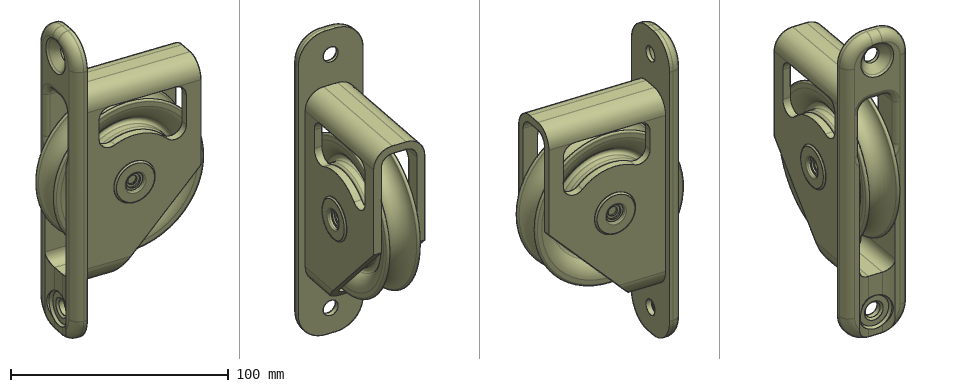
import cadquery as cq
import math

PLATE_WIDTH = 34.5
PLATE_HEIGHT = 162.0
PLATE_THICKNESS = 7.0
PLATE_CORNER_RADIUS = 14.5
PLATE_FRONT_ROUND = 5.0

TUBE_WIDTH = 27.2
TUBE_HEIGHT = 103.0
TUBE_CORNER_RADIUS = 9.9
TUBE_WALL = 4.0
TUBE_BACK = 69.3
CAVITY_WIDTH = TUBE_WIDTH - 2 * TUBE_WALL
CAVITY_HEIGHT = TUBE_HEIGHT - 2 * TUBE_WALL
CAVITY_CORNER_RADIUS = TUBE_CORNER_RADIUS - TUBE_WALL

SLOPE_START_Y = 22.5
SLOPE_END_Z = -3.7

MOUTH_HEIGHT = 34.0
MOUTH_ROUND = 2.6

CHANNEL_DEPTH = 1.6
CHANNEL_FLAT = CAVITY_WIDTH - 2 * CAVITY_CORNER_RADIUS

SCREW_Z = 67.5
SCREW_HOLE_DIAMETER = 8.0
SCREW_HEAD_DIAMETER = 17.7
SCREW_SEAT_DIAMETER = 15.9
SCREW_SEAT_LIP = 1.0
SCREW_CONE_DEPTH = 5.0
COUNTERBORE_FLOOR = 3.0
COUNTERBORE_HOLE_DIAMETER = 10.0
COUNTERBORE_HOLE_CHAMFER = (COUNTERBORE_HOLE_DIAMETER - SCREW_HOLE_DIAMETER) / 2

SHEAVE_Y = 34.0
SHEAVE_Z = -2.5
SHEAVE_RADIUS = 79.5 / 2
SHEAVE_HALF_WIDTH = 9.0
RIM_TIP_RADIUS = 1.0
GROOVE_BOTTOM_RADIUS = 32.9
FLANK_INNER_RADIUS = 36.5
DISH_RADIUS = 9.7
DISH_CENTER_RADIUS = 37.1
HUB_RADIUS = 50.9 / 2
HUB_ROUND = 1.1
VALLEY_RADIUS = 1.6

AXLE_DIAMETER = 21.9
AXLE_LENGTH = 29.2
AXLE_CHAMFER = 0.8
SOCKET_DIAMETER = 9.7
SOCKET_DEPTH = 2.0
SOCKET_ROUND = 0.73
SOCKET_STEP_DIAMETER = 7.5
SOCKET_STEP_DEPTH = 2.9
SOCKET_PILOT_DIAMETER = 4.9
SOCKET_PILOT_DEPTH = 3.9

WINDOW_FRONT = 15.2
WINDOW_BACK = 61.5
WINDOW_TOP = TUBE_HEIGHT / 2 - TUBE_CORNER_RADIUS
WINDOW_FLOOR_RADIUS = 25.0
WINDOW_CORNER_RADIUS = 6.0


def block_y(width, height, y_start, y_end, z_center=0.0):
    """Box from y_start to y_end, centred on X = 0."""
    size_y = y_end - y_start
    return cq.Workplane("XY").box(width, size_y, height).translate((0, (y_start + y_end) / 2, z_center))


def disc_y(diameter, y_start, y_end, z):
    """Cylinder along Y."""
    axis_start = cq.Vector(0, y_start, z)
    return cq.Workplane(cq.Solid.makeCylinder(diameter / 2, y_end - y_start, axis_start, cq.Vector(0, 1, 0)))


def cone_y(front_diameter, back_diameter, y_start, y_end, z):
    """Cone along Y, from its front diameter to its back diameter."""
    return cq.Workplane(cq.Solid.makeCone(
        front_diameter / 2,
        back_diameter / 2,
        y_end - y_start,
        cq.Vector(0, y_start, z),
        cq.Vector(0, 1, 0),
    ))


def disc_x(diameter, length):
    """Cylinder along X about the sheave axis, centred on X = 0."""
    start = cq.Vector(-length / 2, SHEAVE_Y, SHEAVE_Z)
    return cq.Workplane(cq.Solid.makeCylinder(diameter / 2, length, start, cq.Vector(1, 0, 0)))


def arc_point(center, radius, angle):
    """Point on a circle, with the angle in radians from the first axis."""
    return (center[0] + radius * math.cos(angle), center[1] + radius * math.sin(angle))


def make_plate():
    plate = block_y(PLATE_WIDTH, PLATE_HEIGHT, 0, PLATE_THICKNESS)
    plate = plate.edges("|Y").fillet(PLATE_CORNER_RADIUS)
    mouth_z = (CAVITY_HEIGHT - MOUTH_HEIGHT) / 2
    mouth = block_y(CAVITY_WIDTH, MOUTH_HEIGHT, 0, PLATE_THICKNESS, mouth_z)
    plate = plate.cut(mouth.edges("|Y").fillet(CAVITY_CORNER_RADIUS))
    opening_edges = plate.faces("<Y").wires().vals()
    mouth_edge = min(opening_edges, key=lambda wire: wire.Length())
    plate = plate.newObject(mouth_edge.Edges()).fillet(MOUTH_ROUND)
    outer_edge = plate.faces("<Y").val().outerWire()
    return plate.newObject(outer_edge.Edges()).fillet(PLATE_FRONT_ROUND)


def make_tube():
    tube = block_y(TUBE_WIDTH, TUBE_HEIGHT, PLATE_THICKNESS, TUBE_BACK)
    tube = tube.edges("|Y").fillet(TUBE_CORNER_RADIUS)
    bottom = -TUBE_HEIGHT / 2
    slope = (
        cq.Workplane("YZ")
        .polyline([(SLOPE_START_Y, bottom), (TUBE_BACK, bottom), (TUBE_BACK, SLOPE_END_Z)])
        .close()
        .extrude(TUBE_WIDTH / 2, both=True)
    )
    return tube.cut(slope)


def make_cavity():
    cavity = block_y(CAVITY_WIDTH, CAVITY_HEIGHT, 0, TUBE_BACK)
    return cavity.edges("|Y").fillet(CAVITY_CORNER_RADIUS)


def make_channel():
    """Flat-floored channel whose sides curve up tangentially, open at the lower end."""
    side_run = (CAVITY_WIDTH - CHANNEL_FLAT) / 2
    side_radius = (side_run**2 + CHANNEL_DEPTH**2) / (2 * CHANNEL_DEPTH)
    half_angle = math.asin(side_run / side_radius) / 2
    mid_x = CHANNEL_FLAT / 2 + side_radius * math.sin(half_angle)
    mid_y = CHANNEL_DEPTH - side_radius * (1 - math.cos(half_angle))
    return (
        cq.Workplane("XY")
        .moveTo(-CAVITY_WIDTH / 2, 0)
        .threePointArc((-mid_x, mid_y), (-CHANNEL_FLAT / 2, CHANNEL_DEPTH))
        .lineTo(CHANNEL_FLAT / 2, CHANNEL_DEPTH)
        .threePointArc((mid_x, mid_y), (CAVITY_WIDTH / 2, 0))
        .close()
        .extrude(-PLATE_HEIGHT / 2)
    )


def make_countersunk_hole(z):
    hole = disc_y(SCREW_HOLE_DIAMETER, 0, PLATE_THICKNESS, z)
    lip = cone_y(SCREW_HEAD_DIAMETER, SCREW_SEAT_DIAMETER, 0, SCREW_SEAT_LIP, z)
    cone = cone_y(SCREW_SEAT_DIAMETER, SCREW_HOLE_DIAMETER, SCREW_SEAT_LIP, SCREW_CONE_DEPTH, z)
    return hole.union(lip).union(cone)


def make_counterbored_hole(z):
    hole = disc_y(SCREW_HOLE_DIAMETER, 0, PLATE_THICKNESS, z)
    bore = disc_y(SCREW_HEAD_DIAMETER, 0, CHANNEL_DEPTH, z)
    lip = cone_y(SCREW_HEAD_DIAMETER, SCREW_SEAT_DIAMETER, CHANNEL_DEPTH, COUNTERBORE_FLOOR, z)
    chamfer = cone_y(
        COUNTERBORE_HOLE_DIAMETER,
        SCREW_HOLE_DIAMETER,
        COUNTERBORE_FLOOR,
        COUNTERBORE_FLOOR + COUNTERBORE_HOLE_CHAMFER,
        z,
    )
    return hole.union(bore).union(lip).union(chamfer)


def window_corner(wall_y, toward_middle):
    """Points of the lower window corner: on the wall, half way round, and on the floor arc."""
    center_y = wall_y + toward_middle * WINDOW_CORNER_RADIUS
    center_distance = WINDOW_FLOOR_RADIUS + WINDOW_CORNER_RADIUS
    offset_y = center_y - SHEAVE_Y
    offset_z = math.sqrt(center_distance**2 - offset_y**2)
    center_z = SHEAVE_Z + offset_z
    floor_ratio = WINDOW_FLOOR_RADIUS / center_distance
    wall_point = (wall_y, center_z)
    low_point = (center_y, center_z - WINDOW_CORNER_RADIUS)
    floor_point = (SHEAVE_Y + offset_y * floor_ratio, SHEAVE_Z + offset_z * floor_ratio)
    return wall_point, low_point, floor_point


def make_windows():
    """Opening through both tube walls, with a floor concentric with the sheave."""
    front_wall, front_low, front_floor = window_corner(WINDOW_FRONT, 1)
    back_wall, back_low, back_floor = window_corner(WINDOW_BACK, -1)
    floor_top = (SHEAVE_Y, SHEAVE_Z + WINDOW_FLOOR_RADIUS)
    window = (
        cq.Workplane("YZ")
        .moveTo(*front_wall)
        .threePointArc(front_low, front_floor)
        .threePointArc(floor_top, back_floor)
        .threePointArc(back_low, back_wall)
        .lineTo(WINDOW_BACK, WINDOW_TOP)
        .lineTo(WINDOW_FRONT, WINDOW_TOP)
        .close()
        .extrude(TUBE_WIDTH / 2, both=True)
    )
    return window.edges("|X and >Z").fillet(WINDOW_CORNER_RADIUS)


def make_axle():
    """Axle with a stepped blind socket in each end."""
    end_x = AXLE_LENGTH / 2
    round_center = (end_x - SOCKET_ROUND, SOCKET_DIAMETER / 2 + SOCKET_ROUND)
    axle = (
        cq.Workplane("XY")
        .moveTo(0, 0)
        .lineTo(end_x - SOCKET_PILOT_DEPTH, 0)
        .lineTo(end_x - SOCKET_PILOT_DEPTH, SOCKET_PILOT_DIAMETER / 2)
        .lineTo(end_x - SOCKET_STEP_DEPTH, SOCKET_PILOT_DIAMETER / 2)
        .lineTo(end_x - SOCKET_STEP_DEPTH, SOCKET_STEP_DIAMETER / 2)
        .lineTo(end_x - SOCKET_DEPTH, SOCKET_STEP_DIAMETER / 2)
        .lineTo(end_x - SOCKET_DEPTH, SOCKET_DIAMETER / 2)
        .lineTo(end_x - SOCKET_ROUND, SOCKET_DIAMETER / 2)
        .threePointArc(
            arc_point(round_center, SOCKET_ROUND, -math.pi / 4),
            (end_x, round_center[1]),
        )
        .lineTo(end_x, AXLE_DIAMETER / 2 - AXLE_CHAMFER)
        .lineTo(end_x - AXLE_CHAMFER, AXLE_DIAMETER / 2)
        .lineTo(0, AXLE_DIAMETER / 2)
        .mirrorY()
        .revolve(360, (0, 0, 0), (1, 0, 0))
        .clean()
    )
    return axle.translate((0, SHEAVE_Y, SHEAVE_Z))


def make_housing():
    housing = make_plate().union(make_tube())
    housing = housing.cut(make_cavity()).cut(make_channel())
    housing = housing.cut(make_countersunk_hole(SCREW_Z))
    housing = housing.cut(make_counterbored_hole(-SCREW_Z))
    housing = housing.cut(make_windows())
    housing = housing.cut(disc_x(AXLE_DIAMETER, TUBE_WIDTH))
    return housing.union(make_axle())


def flip(point):
    """Mirror image of an outline point on the other side of the sheave; None stays None."""
    return point and (-point[0], point[1])


def make_sheave():
    """Grooved wheel with dished sides and a raised hub, bored for the axle."""
    flank_rise = DISH_CENTER_RADIUS - FLANK_INNER_RADIUS
    dish_center = (SHEAVE_HALF_WIDTH - math.sqrt(DISH_RADIUS**2 - flank_rise**2), DISH_CENTER_RADIUS)
    dish_start_turn = math.asin(flank_rise / DISH_RADIUS)
    valley_rise = DISH_CENTER_RADIUS - HUB_RADIUS - VALLEY_RADIUS
    valley_reach = DISH_RADIUS + VALLEY_RADIUS
    dish_end_turn = math.asin(valley_rise / valley_reach)
    valley_center = (
        dish_center[0] + math.sqrt(valley_reach**2 - valley_rise**2),
        HUB_RADIUS + VALLEY_RADIUS,
    )
    valley_mid_angle = (math.pi - dish_end_turn + 3 * math.pi / 2) / 2
    hub_round_center = (SHEAVE_HALF_WIDTH - HUB_ROUND, HUB_RADIUS - HUB_ROUND)

    tip_center = (SHEAVE_HALF_WIDTH - RIM_TIP_RADIUS, SHEAVE_RADIUS - RIM_TIP_RADIUS)
    tip_rise = tip_center[1] - GROOVE_BOTTOM_RADIUS
    groove_radius = (tip_center[0]**2 + tip_rise**2 - RIM_TIP_RADIUS**2) / (2 * (tip_rise + RIM_TIP_RADIUS))
    groove_drop = GROOVE_BOTTOM_RADIUS + groove_radius - tip_center[1]
    tip_end_angle = math.pi - math.atan2(groove_drop, tip_center[0])
    groove_edge = arc_point(tip_center, RIM_TIP_RADIUS, tip_end_angle)

    start = (SHEAVE_HALF_WIDTH, AXLE_DIAMETER / 2)
    side = [
        (None, (SHEAVE_HALF_WIDTH, hub_round_center[1])),
        (arc_point(hub_round_center, HUB_ROUND, math.pi / 4), (hub_round_center[0], HUB_RADIUS)),
        (None, (valley_center[0], HUB_RADIUS)),
        (
            arc_point(valley_center, VALLEY_RADIUS, valley_mid_angle),
            arc_point(dish_center, DISH_RADIUS, -dish_end_turn),
        ),
        (
            arc_point(dish_center, DISH_RADIUS, -(dish_start_turn + dish_end_turn) / 2),
            (SHEAVE_HALF_WIDTH, FLANK_INNER_RADIUS),
        ),
        (None, (SHEAVE_HALF_WIDTH, tip_center[1])),
        (arc_point(tip_center, RIM_TIP_RADIUS, tip_end_angle / 2), groove_edge),
    ]
    starts = [start] + [end for _, end in side[:-1]]
    other_side = [(flip(mid), flip(first)) for (mid, _), first in zip(side, starts)]
    groove = ((0, GROOVE_BOTTOM_RADIUS), flip(groove_edge))
    outline = cq.Workplane("XY").moveTo(*start)
    for mid, end in side + [groove] + other_side[::-1]:
        if mid is None:
            outline = outline.lineTo(*end)
        else:
            outline = outline.threePointArc(mid, end)
    sheave = outline.close().revolve(360, (0, 0, 0), (1, 0, 0))
    return sheave.translate((0, SHEAVE_Y, SHEAVE_Z))


housing = make_housing()
sheave = make_sheave()
result = cq.Compound.makeCompound([housing.val(), sheave.val()])